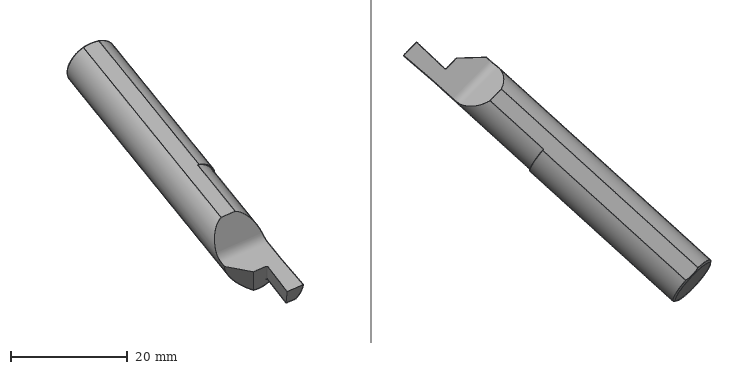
import cadquery as cq
import math

length = 63.5
radius = 4.75
flat_height = 4.5
body_end = 56.6
end_chamfer_length = 0.25
end_chamfer_depth = 0.4

relief_start = 33.85
relief_shift = 0.25

ramp_foot = 50.9
ramp_fillet = 2.6

corner_cut = 3.6

blade_depth = 3.25
blade_root_front = 1.6
blade_tip_front = 1.45
tip_shift = 0.05
root_fillet = 0.25
blade_rake = 0.4


def make_shank():
    profile = [
        (0, 0),
        (0, radius - end_chamfer_depth),
        (end_chamfer_length, radius),
        (body_end, radius),
        (body_end, 0),
    ]
    bar = cq.Workplane("XY").polyline(profile).close().revolve(360, (0, 0, 0), (1, 0, 0))
    above_flat = cq.Workplane("XY").box(length, 2 * radius, radius, centered=(False, True, False))
    return bar.cut(above_flat.translate((0, 0, flat_height)))


def make_back_relief():
    relief_length = body_end - relief_start
    block = cq.Workplane("YZ").rect(2 * radius, 4 * radius).extrude(relief_length)
    block = block.translate((0, radius, 0))
    kept = cq.Workplane("YZ").center(-relief_shift, 0).circle(radius).extrude(relief_length)
    return block.cut(kept).translate((relief_start, 0, 0))


def make_face_cut():
    tangent = ramp_fillet * math.tan(math.pi / 8)
    tangent_leg = tangent * math.sqrt(0.5)
    arc_mid_offset = ramp_fillet * math.sin(math.pi / 8)
    arc_mid_rise = ramp_fillet * (1 - math.cos(math.pi / 8))
    return (
        cq.Workplane("XZ")
        .moveTo(ramp_foot - radius, radius)
        .lineTo(ramp_foot - tangent_leg, tangent_leg)
        .threePointArc(
            (ramp_foot + tangent - arc_mid_offset, arc_mid_rise),
            (ramp_foot + tangent, 0),
        )
        .lineTo(length, 0)
        .lineTo(length, radius)
        .close()
        .extrude(radius, both=True)
    )


def make_corner_cut():
    corner = [
        (body_end - corner_cut, -radius),
        (body_end, -radius),
        (body_end, corner_cut - radius),
    ]
    return cq.Workplane("XY").polyline(corner).close().extrude(radius, both=True)


def make_blade():
    blade_length = length - body_end
    blank = (
        cq.Workplane("YZ", origin=(body_end, 0, 0))
        .center(-relief_shift, 0)
        .circle(radius)
        .workplane(offset=blade_length)
        .center(relief_shift - tip_shift, 0)
        .circle(radius)
        .loft(ruled=True)
    )
    fillet_mid = root_fillet * (1 - math.sqrt(0.5))
    fillet_end_x = body_end + root_fillet
    plan = (
        cq.Workplane("XY")
        .moveTo(body_end, blade_root_front - root_fillet)
        .threePointArc(
            (body_end + fillet_mid, blade_root_front - fillet_mid),
            (fillet_end_x, blade_root_front),
        )
        .lineTo(length, blade_tip_front)
        .lineTo(length, radius)
        .lineTo(body_end, radius)
        .close()
        .extrude(-blade_depth)
    )
    side = [
        (body_end, 0),
        (length, 0),
        (length - blade_rake, -blade_depth),
        (body_end, -blade_depth),
    ]
    elevation = cq.Workplane("XZ").polyline(side).close().extrude(radius, both=True)
    return blank.intersect(plan).intersect(elevation)


body = make_shank().cut(make_back_relief()).cut(make_face_cut()).cut(make_corner_cut())
result = body.union(make_blade())